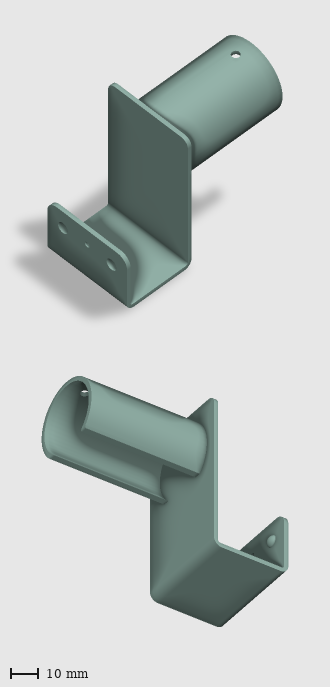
import cadquery as cq

width = 41.0
total_length = 82.3
height = 66.6
sheet = 1.8
outer_bend_radius = 3.45
inner_bend_radius = 1.0
back_corner_radius = 3.45
flange_height = 27.0
flange_corner_radius = 5.0

tube_length = 50.0
tube_radius = 16.0
tube_wall = sheet
tube_axis_z = 48.1
tube_bottom_z = 36.9
tube_corner_radius = 0.8
cross_hole_diameter = 3.5
cross_hole_inset = 8.0

dimple_spacing = 25.0
dimple_z = 18.5
dimple_radius = 2.55
dome_base_radius = 2.5
dome_height = 1.65
flange_hole_diameter = 2.5
flange_hole_z = 19.4

bracket_depth = total_length - tube_length
flange_inner_y = sheet
back_inner_y = bracket_depth - sheet


def block(x_size, y_start, y_end, z_start, z_end):
    """Box centred on X, spanning the given Y and Z ranges."""
    size = (x_size, y_end - y_start, z_end - z_start)
    return cq.Workplane("XY").box(*size, centered=(True, False, False)).translate((0, y_start, z_start))


def make_bracket():
    back = block(width, back_inner_y, bracket_depth, 0, height)
    back = back.edges("|Y and >Z").fillet(back_corner_radius)
    flange = block(width, 0, flange_inner_y, 0, flange_height)
    flange = flange.edges("|Y and >Z").fillet(flange_corner_radius)
    floor = block(width, 0, bracket_depth, 0, sheet)
    bracket = back.union(floor).union(flange)
    bracket = bracket.edges("|X and <Z").fillet(outer_bend_radius)
    inner_bends = cq.selectors.BoxSelector(
        (-width, flange_inner_y / 2, sheet / 2),
        (width, bracket_depth - sheet / 2, sheet * 1.5),
    )
    return bracket.edges("|X").edges(inner_bends).fillet(inner_bend_radius)


def make_tube():
    """Round tube cut off flat below its axis, leaving a C-shaped section."""
    ring = (
        cq.Workplane("XZ", origin=(0, bracket_depth, tube_axis_z))
        .circle(tube_radius)
        .circle(tube_radius - tube_wall)
        .extrude(-tube_length)
    )
    tube_top_z = tube_axis_z + tube_radius
    trim_block = block(2 * tube_radius, bracket_depth, total_length, tube_bottom_z, tube_top_z)
    trim_block = trim_block.edges("|X and >Y and <Z").fillet(tube_corner_radius)
    cross_hole = (
        cq.Workplane("XY", origin=(0, total_length - cross_hole_inset, 0))
        .circle(cross_hole_diameter / 2)
        .extrude(height)
    )
    return ring.intersect(trim_block).cut(cross_hole)


def add_dimple(body, x):
    """Raise a spherical dome on the flange's inner face and hollow it from the front."""
    dome_radius = (dome_base_radius**2 + dome_height**2) / (2 * dome_height)
    dome_center_y = flange_inner_y + dome_height - dome_radius
    dome = cq.Workplane("XY").sphere(dome_radius).translate((x, dome_center_y, dimple_z))
    dome = dome.intersect(block(width, 0, bracket_depth, 0, flange_height))
    hollow = cq.Workplane("XY").sphere(dimple_radius).translate((x, 0, dimple_z))
    return body.union(dome).cut(hollow)


result = make_bracket().union(make_tube())
for side in (-1, 1):
    result = add_dimple(result, side * dimple_spacing / 2)

flange_hole = (
    cq.Workplane("XZ", origin=(0, 0, flange_hole_z))
    .circle(flange_hole_diameter / 2)
    .extrude(-sheet)
)
result = result.cut(flange_hole)